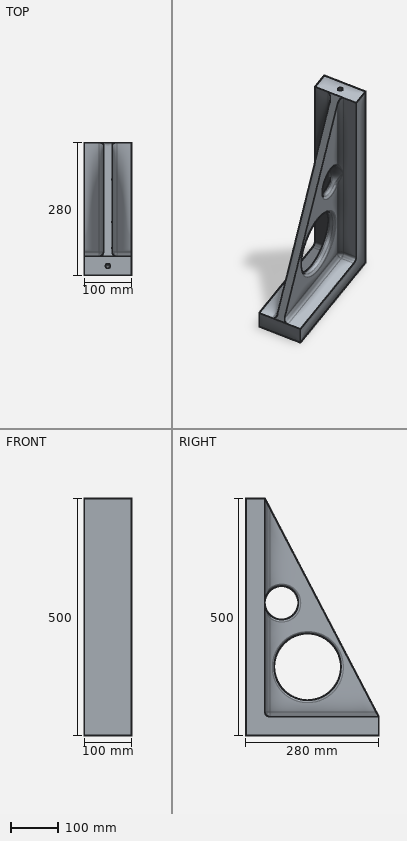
import cadquery as cq
import math

width = 100.0
depth = 280.0
height = 500.0

plate_thickness = 40.0
rib_thickness = 18.0
inner_fillet = 10.0

rim_fillet = 5.0
large_hole_diameter = 140.0
large_hole_center = (130.0, 145.0)
small_hole_diameter = 70.0
small_hole_clearance = 0.05
small_hole_center = (plate_thickness + small_hole_diameter / 2 + small_hole_clearance, 280.0)

drill_diameter = 10.2
drill_depth = 30.0
drill_tip_angle = 118.0

pick_margin = 0.5


def side_plate(points, thickness):
    """Extrude a (Y, Z) outline symmetrically about the X mid-plane."""
    start_plane = cq.Workplane("YZ", origin=(-thickness / 2, 0, 0))
    return start_plane.polyline(points).close().extrude(thickness)


def center_box(low, high):
    """Selector for edges whose centre lies in the box, widened by the pick margin."""
    return cq.selectors.BoxSelector(
        tuple(value - pick_margin for value in low),
        tuple(value + pick_margin for value in high),
    )


def make_wall_and_base():
    return side_plate(
        [
            (0, 0),
            (depth, 0),
            (depth, plate_thickness),
            (plate_thickness, plate_thickness),
            (plate_thickness, height),
            (0, height),
        ],
        width,
    )


def make_rib_blank():
    """Rectangular rib, trimmed to a triangle once its fillets are in place."""
    return side_plate(
        [
            (plate_thickness, plate_thickness),
            (depth, plate_thickness),
            (depth, height),
            (plate_thickness, height),
        ],
        rib_thickness,
    )


def fillet_inner_corners(body):
    """Round the rib-to-wall, rib-to-base and wall-to-base corners together."""
    corner = plate_thickness
    half_rib = rib_thickness / 2
    half_width = width / 2
    wall_edges = body.edges("|Z").edges(center_box((-half_rib, corner, corner), (half_rib, corner, height)))
    base_edges = body.edges("|Y").edges(center_box((-half_rib, corner, corner), (half_rib, depth, corner)))
    cross_edges = body.edges("|X").edges(
        center_box((-half_width, corner, corner), (half_width, corner, corner))
    )
    return wall_edges.add(base_edges).add(cross_edges).fillet(inner_fillet)


def trim_to_slope(body):
    """Cut the rib and its fillets along the line from the wall top to the base end."""
    above_slope = side_plate(
        [(plate_thickness, height), (depth, plate_thickness), (depth, height)], width
    )
    return body.cut(above_slope)


def cut_rounded_hole(body, diameter, center):
    """Cut a hole across the rib and round its rim on both rib faces."""
    y_center, z_center = center
    radius = diameter / 2
    cutter = cq.Workplane("YZ", origin=(-width / 2, y_center, z_center)).circle(radius).extrude(width)
    body = body.cut(cutter)
    half_rib = rib_thickness / 2
    rim_edges = body.edges("%CIRCLE").edges(
        center_box(
            (-half_rib, y_center - radius, z_center - radius),
            (half_rib, y_center + radius, z_center + radius),
        )
    )
    rib_face_rims = rim_edges.filter(lambda edge: abs(edge.Center().x) > half_rib - pick_margin)
    return rib_face_rims.fillet(rim_fillet)


def drill_wall_top(body):
    """Drill a blind hole with a conical tip down into the wall."""
    radius = drill_diameter / 2
    tip_length = radius / math.tan(math.radians(drill_tip_angle / 2))
    floor = height - drill_depth
    drill = (
        cq.Workplane("XZ", origin=(0, plate_thickness / 2, 0))
        .polyline([(0, height), (radius, height), (radius, floor), (0, floor - tip_length)])
        .close()
        .revolve(360, (0, 0), (0, 1))
    )
    return body.cut(drill)


body = make_wall_and_base().union(make_rib_blank())
body = fillet_inner_corners(body)
body = trim_to_slope(body)
body = cut_rounded_hole(body, large_hole_diameter, large_hole_center)
body = cut_rounded_hole(body, small_hole_diameter, small_hole_center)
result = drill_wall_top(body)